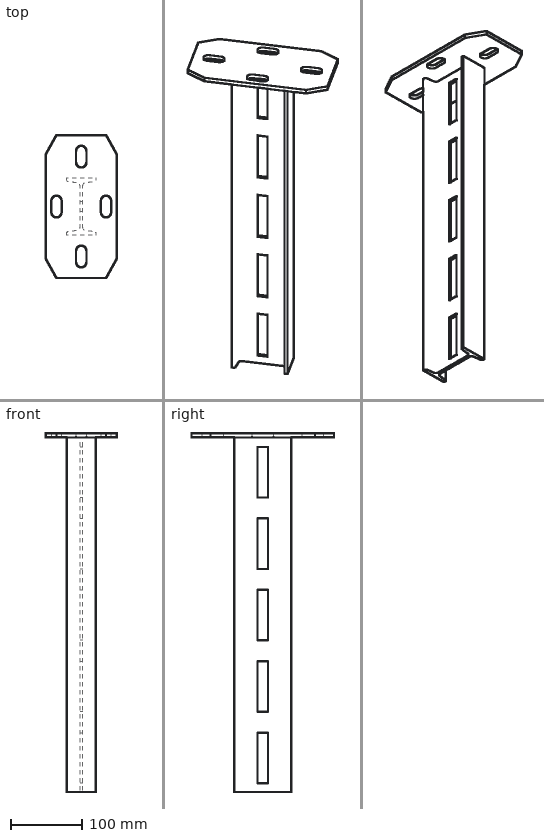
import cadquery as cq

total_height = 502.5
plate_width = 100.0
plate_length = 200.0
plate_thickness = 6.0

corner_cut_x = 15.0
corner_cut_y = 27.0

mount_slot_length = 30.0
mount_slot_width = 14.0
side_slot_offset = 34.5
end_slot_offset = 70.0

post_depth = 41.0
post_width = 80.0
web_thickness = 4.0
flange_thickness = 6.0
flange_slope = 0.14
root_radius = 4.0
tip_radius = 2.3
post_height = total_height - plate_thickness

web_slot_count = 5
web_slot_length = 70.5
web_slot_width = 14.0
web_slot_pitch = 100.0
lowest_slot_center = 47.5


def make_plate():
    """Head plate with four cut corners and four mounting slots."""
    half_x = plate_width / 2
    half_y = plate_length / 2
    cut_x = half_x - corner_cut_x
    cut_y = half_y - corner_cut_y
    outline = [
        (half_x, -cut_y), (half_x, cut_y), (cut_x, half_y), (-cut_x, half_y),
        (-half_x, cut_y), (-half_x, -cut_y), (-cut_x, -half_y), (cut_x, -half_y),
    ]
    slot_centers = [
        (side_slot_offset, 0), (-side_slot_offset, 0),
        (0, end_slot_offset), (0, -end_slot_offset),
    ]
    plate = cq.Workplane("XY").workplane(offset=post_height).polyline(outline).close().extrude(plate_thickness)
    slots = (
        cq.Workplane("XY").workplane(offset=post_height)
        .pushPoints(slot_centers)
        .slot2D(mount_slot_length, mount_slot_width, 90)
        .extrude(plate_thickness)
    )
    return plate.cut(slots)


def make_beam():
    """I-beam with tapered flanges, rounded at the flange tips and web roots."""
    tip_x = post_depth / 2
    root_x = web_thickness / 2
    outer_y = post_width / 2
    taper_middle_x = post_depth / 4
    tip_y = outer_y - flange_thickness + flange_slope * (tip_x - taper_middle_x)
    root_y = outer_y - flange_thickness - flange_slope * (taper_middle_x - root_x)
    outline = [
        (tip_x, outer_y), (tip_x, tip_y), (root_x, root_y),
        (root_x, -root_y), (tip_x, -tip_y), (tip_x, -outer_y),
        (-tip_x, -outer_y), (-tip_x, -tip_y), (-root_x, -root_y),
        (-root_x, root_y), (-tip_x, tip_y), (-tip_x, outer_y),
    ]
    beam = cq.Workplane("XY").polyline(outline).close().extrude(post_height)
    for side_x in (-1, 1):
        for side_y in (-1, 1):
            root_point = (side_x * root_x, side_y * root_y, post_height / 2)
            tip_point = (side_x * tip_x, side_y * tip_y, post_height / 2)
            beam = beam.edges(cq.selectors.NearestToPointSelector(root_point)).fillet(root_radius)
            beam = beam.edges(cq.selectors.NearestToPointSelector(tip_point)).fillet(tip_radius)
    return beam


def make_post():
    """Beam with a row of slots through its web."""
    post = make_beam()
    for index in range(web_slot_count):
        slot_z = lowest_slot_center + index * web_slot_pitch
        slot = cq.Workplane("XY").box(2 * web_thickness, web_slot_width, web_slot_length)
        post = post.cut(slot.translate((0, 0, slot_z)))
    return post


plate = make_plate()
post = make_post()

result = cq.Compound.makeCompound([plate.val(), post.val()])